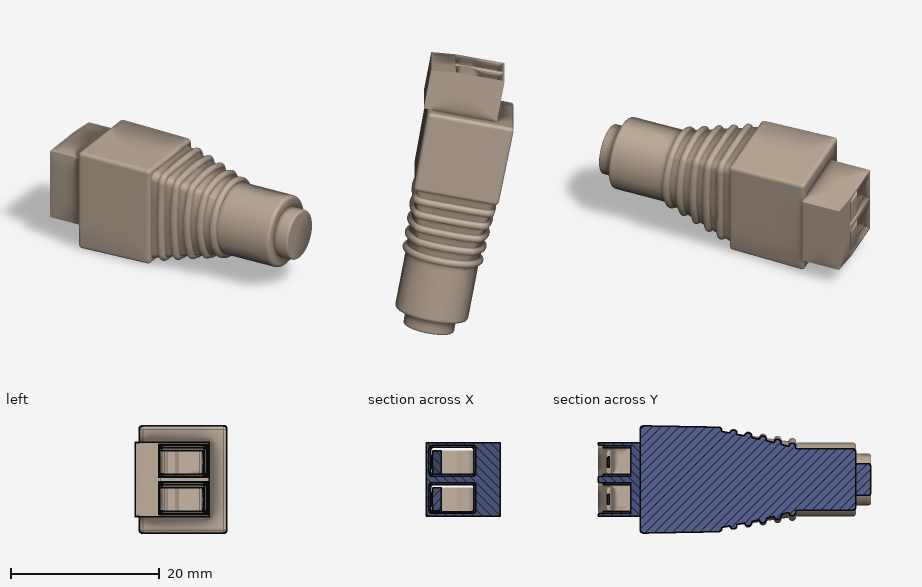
import cadquery as cq
import math

LENGTH = 36.7

BLOCK_SIDE = 10.0
BLOCK_TOP_Y = 6.45
BLOCK_BOTTOM_Y = BLOCK_TOP_Y - BLOCK_SIDE
BLOCK_LENGTH = 5.65
SLANT_DEPTH = 0.3
SLANT_HEIGHT = 3.38
TERMINAL_PITCH = 5.0
TERMINAL_CENTRES = (-TERMINAL_PITCH / 2, TERMINAL_PITCH / 2)

MOUTH_Y, MOUTH_Z = 6.6, 4.45
MOUTH_INSET = 0.2
POCKET_Y, POCKET_Z = MOUTH_Y - 2 * MOUTH_INSET, MOUTH_Z - 2 * MOUTH_INSET
POCKET_DEPTH = 4.4

CAGE_FRONT = 0.65
CAGE_WALL = 0.25
CAGE_RADIUS = 0.5
WINDOW_Y = POCKET_Y - 2 * CAGE_WALL
WINDOW_Z = POCKET_Z - 2 * CAGE_WALL

PLATE_WIDTH = 3.15
PLATE_DROP = 0.2
PLATE_FRONT = 0.05
LEG_BEND_Y = 2.4
RAMP_BEND_Y = 0.85
TAB_BEND_Y = -2.35
TAB_CORNER_Y = -2.65
TAB_END_Y = -2.75
LEG_SLOPE = 0.6
RAMP_SLOPE = 0.44
WIDE_BEND_RADIUS = 0.75
TAB_BEND_RADIUS = 0.35

BOX_END = 16.7
BOX_Y, BOX_Z = 11.8, 14.5
BOX_END_Y, BOX_END_Z = 11.55, 14.1
BOX_FILLET = 0.5
NECK_HALF_Y, NECK_HALF_Z = 5.32, 6.45
NECK_CORNER = 1.03
NECK_END = 26.65
BARREL_RADIUS = 10.0 / 2
BARREL_END = 34.68
BARREL_FILLET = 0.48
RIB_COUNT = 5
RIB_START = 18.2
RIB_PITCH = 2.0
RIB_RADIUS = 0.5
RIB_CENTRES = [RIB_START + index * RIB_PITCH for index in range(RIB_COUNT)]

NOSE_RADIUS = 6.95 / 2
NOSE_FILLET = 0.3


def plane_at(x):
    """Work plane across the connector axis: local axes are Y and Z."""
    return cq.Workplane("YZ", origin=(x, 0, 0))


def mix(start, end, fraction):
    return start + (end - start) * fraction


def corner_joint(half_width, centre_across, centre_along):
    """Point where a bulged side arc runs tangent into a corner arc: (across, along) the side."""
    overhang = half_width - centre_across
    if math.isclose(overhang, NECK_CORNER):
        return half_width, centre_along
    side_radius = (overhang**2 + centre_along**2 - NECK_CORNER**2) / (2 * (overhang - NECK_CORNER))
    angle = math.asin(centre_along / (side_radius - NECK_CORNER))
    return (
        centre_across + NECK_CORNER * math.cos(angle),
        centre_along + NECK_CORNER * math.sin(angle),
    )


def neck_section(x):
    """Neck outline at x: a rounded rectangle at the box whose sides bulge towards the barrel's circle."""
    fraction = (x - BOX_END) / (NECK_END - BOX_END)
    start_y, start_z = NECK_HALF_Y - NECK_CORNER, NECK_HALF_Z - NECK_CORNER
    seam_angle = math.atan2(start_z, start_y)
    end_reach = BARREL_RADIUS - NECK_CORNER

    half_y = mix(NECK_HALF_Y, BARREL_RADIUS, fraction)
    half_z = mix(NECK_HALF_Z, BARREL_RADIUS, fraction)
    centre_y = mix(start_y, end_reach * math.cos(seam_angle), fraction)
    centre_z = mix(start_z, end_reach * math.sin(seam_angle), fraction)
    ay, az = corner_joint(half_y, centre_y, centre_z)
    bz, by = corner_joint(half_z, centre_z, centre_y)
    my = centre_y + NECK_CORNER * math.cos(seam_angle)
    mz = centre_z + NECK_CORNER * math.sin(seam_angle)

    def side(outline, middle, end):
        return outline.lineTo(*end) if fraction == 0 else outline.threePointArc(middle, end)

    outline = plane_at(x).moveTo(ay, -az)
    outline = side(outline, (half_y, 0), (ay, az)).threePointArc((my, mz), (by, bz))
    outline = side(outline, (0, half_z), (-by, bz)).threePointArc((-my, mz), (-ay, az))
    outline = side(outline, (-half_y, 0), (-ay, -az)).threePointArc((-my, -mz), (-by, -bz))
    outline = side(outline, (0, -half_z), (by, -bz)).threePointArc((my, -mz), (ay, -az))
    return outline.close()


def make_rib(x):
    """Round bead whose centre line runs around the neck surface at x."""
    path = neck_section(x)
    start = path.val().startPoint()
    profile = cq.Workplane(cq.Plane(start, xDir=(1, 0, 0), normal=path.val().tangentAt(0)))
    return profile.circle(RIB_RADIUS).sweep(path)


def make_boot():
    box = plane_at(BLOCK_LENGTH).rect(BOX_Y, BOX_Z)
    box = box.workplane(offset=BOX_END - BLOCK_LENGTH).rect(BOX_END_Y, BOX_END_Z)
    box = box.loft(ruled=True).edges().fillet(BOX_FILLET)
    neck_wires = [neck_section(x).val() for x in (BOX_END, *RIB_CENTRES)]
    neck = cq.Workplane(cq.Solid.makeLoft(neck_wires, True))
    barrel = plane_at(RIB_CENTRES[-1]).circle(BARREL_RADIUS).extrude(BARREL_END - RIB_CENTRES[-1])
    barrel = barrel.faces(">X").edges().fillet(BARREL_FILLET)
    boot = box.union(neck).union(barrel)
    for x in RIB_CENTRES:
        boot = boot.union(make_rib(x))
    return boot


def rounded_bar(z, size_y, size_z, radius):
    """Bar with rounded corners from the cage front to the bottom of the pocket."""
    bar = plane_at(CAGE_FRONT).center(0, z).rect(size_y, size_z).extrude(POCKET_DEPTH - CAGE_FRONT)
    return bar.edges("|X").fillet(radius)


def make_terminal_block():
    side_outline = [
        (0, BLOCK_BOTTOM_Y),
        (BLOCK_LENGTH, BLOCK_BOTTOM_Y),
        (BLOCK_LENGTH, BLOCK_TOP_Y),
        (SLANT_DEPTH, BLOCK_TOP_Y),
        (0, BLOCK_TOP_Y - SLANT_HEIGHT),
    ]
    block = cq.Workplane("XY").polyline(side_outline).close().extrude(BLOCK_SIDE / 2, both=True)
    for z in TERMINAL_CENTRES:
        mouth = plane_at(0).center(0, z).rect(MOUTH_Y, MOUTH_Z)
        mouth = mouth.workplane(offset=MOUTH_INSET).rect(POCKET_Y, POCKET_Z).loft(ruled=True)
        pocket = plane_at(0).center(0, z).rect(POCKET_Y, POCKET_Z).extrude(CAGE_FRONT)
        seat = rounded_bar(z, POCKET_Y, POCKET_Z, CAGE_RADIUS)
        block = block.cut(mouth).cut(pocket).cut(seat)
    return block


def make_cage(z):
    window = rounded_bar(z, WINDOW_Y, WINDOW_Z, CAGE_RADIUS - CAGE_WALL)
    return rounded_bar(z, POCKET_Y, POCKET_Z, CAGE_RADIUS).cut(window)


def make_clamp_plate(z):
    """Bent sheet: a leg on the cage front, a flat, a ramp into the window and an upturned tab."""
    seat_y = POCKET_Y / 2
    leg_y = WINDOW_Y / 2
    leg_x = PLATE_FRONT + (leg_y - LEG_BEND_Y) * LEG_SLOPE
    thickness = CAGE_FRONT - leg_x
    tab_bend_x = PLATE_FRONT + (RAMP_BEND_Y - TAB_BEND_Y) * RAMP_SLOPE
    tab_end_x = tab_bend_x - (TAB_BEND_Y - TAB_END_Y) * LEG_SLOPE

    leg_bend = (PLATE_FRONT, LEG_BEND_Y)
    ramp_bend = (PLATE_FRONT, RAMP_BEND_Y)
    tab_bend = (tab_bend_x, TAB_BEND_Y)
    front_face = [(leg_x, leg_y), leg_bend, ramp_bend, tab_bend, (tab_end_x, TAB_END_Y)]
    back_face = [(x + thickness, y) for x, y in reversed(front_face)]
    bevelled_end = [(CAGE_FRONT, seat_y), (leg_x + seat_y - leg_y, seat_y)]
    outline = front_face + back_face + bevelled_end
    sheet = cq.Workplane("XY").polyline(outline).close().extrude(PLATE_WIDTH / 2, both=True)

    bends = (
        (leg_bend, WIDE_BEND_RADIUS),
        (ramp_bend, WIDE_BEND_RADIUS),
        (tab_bend, TAB_BEND_RADIUS),
    )
    for (x, y), radius in bends:
        for face_x in (x, x + thickness):
            bend_edge = cq.NearestToPointSelector((face_x, y, 0))
            sheet = sheet.edges("|Z").edges(bend_edge).fillet(radius)

    blank = (
        plane_at(0)
        .moveTo(seat_y, -PLATE_WIDTH / 2)
        .lineTo(TAB_CORNER_Y, -PLATE_WIDTH / 2)
        .threePointArc((TAB_END_Y, 0), (TAB_CORNER_Y, PLATE_WIDTH / 2))
        .lineTo(seat_y, PLATE_WIDTH / 2)
        .close()
        .extrude(POCKET_DEPTH)
    )
    return sheet.intersect(blank).translate((0, 0, z - PLATE_DROP))


def make_nose():
    nose = plane_at(BARREL_END).circle(NOSE_RADIUS).extrude(LENGTH - BARREL_END)
    return nose.faces(">X").edges().fillet(NOSE_FILLET)


boot = make_boot()
terminal_block = make_terminal_block()
cages = [make_cage(z) for z in TERMINAL_CENTRES]
clamp_plates = [make_clamp_plate(z) for z in TERMINAL_CENTRES]
nose = make_nose()

result = cq.Compound.makeCompound([
    boot.val(),
    terminal_block.val(),
    *[cage.val() for cage in cages],
    *[plate.val() for plate in clamp_plates],
    nose.val(),
])